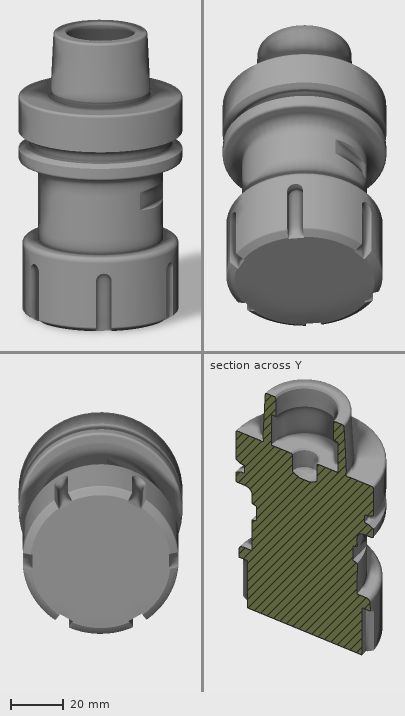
import cadquery as cq
import math

total_height = 112.0

nut_radius = 30.0
nut_top = 29.9
nut_top_fillet = 2.0
nut_bevel_height = 1.9
nut_bevel_angle = 32.0
nut_bevel_fillet = 0.9
slot_count = 6
slot_width = 6.0
slot_top = 23.7
slot_floor_radius = 26.2

body_radius = 24.1
body_fillet = 3.0
flat_distance = 22.1
flat_middle = 49.4
flat_inner_height = 7.0
flat_outer_height = 8.3

flange_radius = 31.5
flange_bottom = 61.0
flange_top = 87.0
flange_fillet = 1.0
groove_radius = 27.4
groove_bottom = 65.9
groove_top = 72.5
groove_shelf_radius = 29.1
groove_side_angle = 30.0
groove_fillet = 0.6

relief_outer_radius = 20.3
relief_floor_radius = 19.6
relief_depth = 0.2
neck_radius = 18.9
neck_top = 88.3

taper_base_radius = 19.2
taper_base = 88.9
taper_tip_radius = 18.0
taper_tip_fillet = 1.0

bore_radius = 13.0
bore_bottom = 102.0
bore_chamfer_width = 0.6
bore_chamfer_depth = 0.9
cavity_radius = 15.0
cavity_floor = flange_top

hole_radius = 5.5
hole_rim_radius = 6.0
hole_depth = 9.0
hole_tip_radius = 2.6
hole_tip_angle = 60.0


def fillet_ring(solid, radius, z, size):
    """Round the circular edge that has the given radius and height."""
    tolerance = 0.001
    rings = [
        edge
        for edge in solid.edges("%CIRCLE").vals()
        if abs(edge.radius() - radius) < tolerance and abs(edge.Center().z - z) < tolerance
    ]
    return solid.newObject(rings).fillet(size)


def make_turned_body():
    """Outer shape of the chuck, before slots, flats and bores."""
    bevel_width = nut_bevel_height / math.tan(math.radians(nut_bevel_angle))
    groove_side_rise = (flange_radius - groove_shelf_radius) * math.tan(math.radians(groove_side_angle))
    groove_shelf_bottom = groove_bottom + groove_side_rise
    groove_shelf_top = groove_top - groove_side_rise
    relief_floor = flange_top - relief_depth
    relief_fillet = relief_floor_radius - neck_radius

    outline = [
        (0, 0),
        (nut_radius - bevel_width, 0),
        (nut_radius, nut_bevel_height),
        (nut_radius, nut_top),
        (body_radius, nut_top),
        (body_radius, flange_bottom),
        (flange_radius, flange_bottom),
        (flange_radius, groove_bottom),
        (groove_shelf_radius, groove_shelf_bottom),
        (groove_radius, groove_shelf_bottom),
        (groove_radius, groove_shelf_top),
        (groove_shelf_radius, groove_shelf_top),
        (flange_radius, groove_top),
        (flange_radius, flange_top),
        (relief_outer_radius, flange_top),
        (relief_floor_radius, relief_floor),
    ]
    arc_offset = relief_fillet * (1 - math.sqrt(0.5))
    turned = (
        cq.Workplane("XZ")
        .polyline(outline)
        .threePointArc(
            (neck_radius + arc_offset, relief_floor + arc_offset),
            (neck_radius, relief_floor + relief_fillet),
        )
        .lineTo(neck_radius, neck_top)
        .lineTo(taper_base_radius, taper_base)
        .lineTo(taper_tip_radius, total_height)
        .lineTo(0, total_height)
        .close()
        .revolve(360, (0, 0), (0, 1))
    )

    rounded_edges = [
        (nut_radius, nut_bevel_height, nut_bevel_fillet),
        (nut_radius, nut_top, nut_top_fillet),
        (body_radius, flange_bottom, body_fillet),
        (flange_radius, flange_bottom, flange_fillet),
        (groove_radius, groove_shelf_bottom, groove_fillet),
        (groove_radius, groove_shelf_top, groove_fillet),
        (flange_radius, flange_top, flange_fillet),
        (taper_tip_radius, total_height, taper_tip_fillet),
    ]
    for radius, z, size in rounded_edges:
        turned = fillet_ring(turned, radius, z, size)
    return turned


def make_nut_slot():
    """Cutter for the round-ended nut slot on the +X side, open at the bottom."""
    half_width = slot_width / 2
    return (
        cq.Workplane("YZ", origin=(slot_floor_radius, 0, 0))
        .moveTo(-half_width, 0)
        .lineTo(half_width, 0)
        .lineTo(half_width, slot_top - half_width)
        .threePointArc((0, slot_top), (-half_width, slot_top - half_width))
        .close()
        .extrude(nut_radius)
    )


def make_wrench_flat():
    """Cutter for the wrench flat on the +X side, with sloping upper and lower ends."""
    inner = flat_inner_height / 2
    outer = flat_outer_height / 2
    return (
        cq.Workplane("XZ")
        .polyline(
            [
                (flat_distance, flat_middle - inner),
                (body_radius, flat_middle - outer),
                (body_radius, flat_middle + outer),
                (flat_distance, flat_middle + inner),
            ]
        )
        .close()
        .extrude(body_radius, both=True)
    )


def make_cavity():
    """Cutter for the chamfered bore, the wider cavity below it and the centre hole."""
    hole_bottom = cavity_floor - hole_depth
    hole_tip_height = (hole_radius - hole_tip_radius) / math.tan(math.radians(hole_tip_angle))
    hole_chamfer = hole_rim_radius - hole_radius
    outline = [
        (0, total_height),
        (bore_radius + bore_chamfer_width, total_height),
        (bore_radius, total_height - bore_chamfer_depth),
        (bore_radius, bore_bottom),
        (cavity_radius, bore_bottom),
        (cavity_radius, cavity_floor),
        (hole_rim_radius, cavity_floor),
        (hole_radius, cavity_floor - hole_chamfer),
        (hole_radius, hole_bottom),
        (hole_tip_radius, hole_bottom - hole_tip_height),
        (0, hole_bottom - hole_tip_height),
    ]
    return cq.Workplane("XZ").polyline(outline).close().revolve(360, (0, 0), (0, 1))


result = make_turned_body().cut(make_cavity())

nut_slot = make_nut_slot()
for index in range(slot_count):
    result = result.cut(nut_slot.rotate((0, 0, 0), (0, 0, 1), index * 360 / slot_count))

wrench_flat = make_wrench_flat()
for angle in (0, 180):
    result = result.cut(wrench_flat.rotate((0, 0, 0), (0, 0, 1), angle))